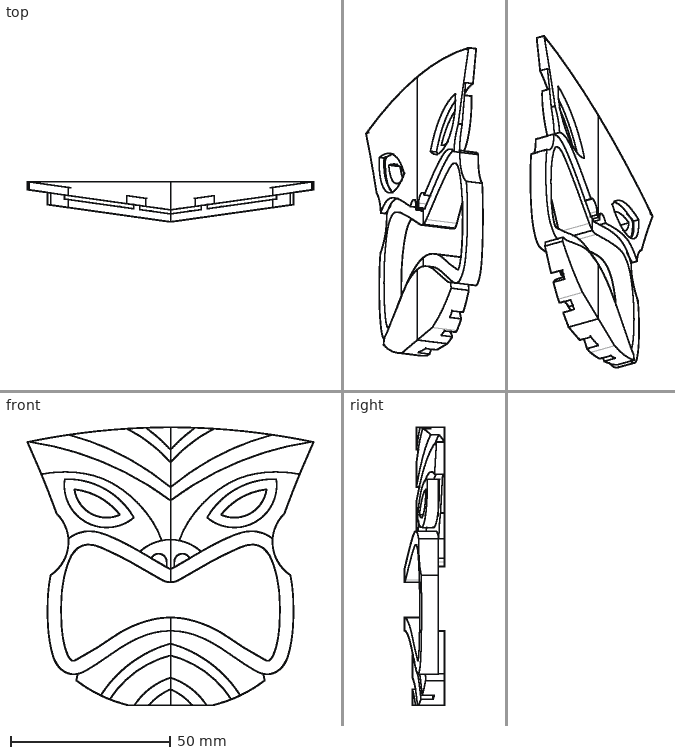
import cadquery as cq
import math


HALF_WIDTH = 45.005
HEIGHT = 87.46
CREST_DEPTH = 12.7
FOLD_ANGLE = 8.0
CLEAR = 5.0

STEP = CREST_DEPTH / 10
FLOOR = 5 * STEP
BROW = 7 * STEP
FEATURE = 8 * STEP
RIM_BACK = 2.0

TEMPLE = (-HALF_WIDTH, 82.8)
TOP_ARC_MID = (-HALF_WIDTH / 2, 86.3)
TEMPLE_EDGE_MID = (-40.55, 72.5)
TEMPLE_EDGE_END = (-35.9, 60.5)
CHEEK_CENTRE = (-44.6, 51.4)
CHEEK_RADIUS = 12.5

LIP_WIDTH = 4.25
LIP_PEAK_Z = 42.75
LIP_SLOPE = math.radians(30.2)
LIP_DIP_RADIUS = 5.5
LIP_BOTTOM_Z = 23.45
LIP_CURVE = [
    (-7.0, 46.82),
    (-13.5, 50.55),
    (-20.0, 53.55),
    (-26.0, 54.8),
    (-32.2, 52.3),
    (-36.3, 45.9),
    (-38.7, 30.5),
    (-37.5, 17.5),
    (-34.8, 11.7),
    (-30.8, 9.75),
    (-25.2, 11.75),
    (-14.9, 18.6),
    (-7.2, 22.3),
    (0, LIP_BOTTOM_Z),
]
OPENING_CURVE = [
    (-9.0, 43.05),
    (-15.2, 46.5),
    (-21.8, 49.6),
    (-26.0, 50.55),
    (-29.2, 49.4),
    (-32.2, 44.7),
    (-34.4, 30.5),
    (-33.2, 18.3),
    (-32.1, 15.4),
    (-30.8, 14.05),
    (-28.7, 14.9),
    (-23.5, 17.9),
    (-15.8, 22.95),
    (-8.9, 26.1),
    (0, LIP_BOTTOM_Z + LIP_WIDTH),
]

EYE_OUTER_CORNER = (-33.25, 71.15)
EYE_INNER_CORNER = (-11.5, 59.05)
EYE_LID_MID = (-20.9, 68.2)
EYE_LOWER_CENTRE = (-20.1, 69.1)
EYE_LOWER_RADIUS = 13.2
EYE_LOWER_MID_ANGLE = math.radians(30)
EYE_RIM_WIDTH = 3.15

NOSE_TOP_Z = 52.1
NOSE_RADIUS = 14.2
NOSTRIL_CENTRE = (-3.75, 45.15)
NOSTRIL_RADIUS = 2.5
NOSE_FOOT_Z = 43.6

JAW_TOP = (-29.1, 10.4)
JAW_CORNER = (-29.65, 7.8)
JAW_ARC_MID = (-21.6, 2.95)
CHIN_FLAT_END = (-13.3, 0)

BROW_GROOVE_LOWER = [(-44.5, 82.9), (-20.9, 76.35), (0, 64.4)]
BROW_GROOVE_UPPER = [(-36.0, 86.03), (-16.5, 79.3), (0, 68.6)]
CROWN_GROOVE_LOWER = [(-16.5, 88.3), (-7.2, 83.0), (0, 76.4)]
CROWN_GROOVE_UPPER = [(-9.15, 88.3), (-4.1, 84.4), (0, 80.4)]
JAW_GROOVE_UPPER = [(-23.2, 1.0), (-12.7, 13.15), (0, 19.45)]
JAW_GROOVE_LOWER = [(-20.2, 0), (-11.0, 10.5), (0, 15.7)]
CHIN_GROOVE_UPPER = [(-12.4, -1.7), (-6.6, 5.2), (0, 8.75)]
CHIN_GROOVE_LOWER = [(-8.1, -1.5), (-4.2, 2.55), (0, 5.1)]

BROW_CURVE = [
    (-43.0, 72.1),
    (-33.0, 73.4),
    (-20.9, 71.1),
    (-10.6, 63.95),
    (-5.4, 57.4),
    (-2.3, 50.5),
]


def prism(outline):
    """Solid of a closed outline, from the flat back to in front of the whole mask."""
    return outline.extrude(CREST_DEPTH + CLEAR)


def front_plane():
    """Plane of the flat back, drawn in X and Z, extruding toward the front."""
    return cq.Workplane("XZ")


def folded_wedge(back, front):
    """Wedge over one half: 'back' and 'front' list its Y depths at the centre line and the outer side."""
    outer_x = -HALF_WIDTH - CLEAR
    return (
        cq.Workplane("XY")
        .workplane(offset=-CLEAR)
        .polyline([(0, -back[0]), (0, -front[0]), (outer_x, -front[1]), (outer_x, -back[1])])
        .close()
        .extrude(HEIGHT + 2 * CLEAR)
    )


def side_depth(centre_depth):
    """Depth of a folded face at the outer side of the wedge."""
    return centre_depth - (HALF_WIDTH + CLEAR) * math.tan(math.radians(FOLD_ANGLE))


def relief(solid, depth, back=0.0):
    """Part of a prism between the plane Y = -back and the folded front face of the given depth."""
    return solid.intersect(folded_wedge((back, back), (depth, side_depth(depth))))


def above_floor(solid):
    """Part of a prism in front of the folded groove floor, used as a cutter."""
    front = CREST_DEPTH + CLEAR
    return solid.intersect(folded_wedge((FLOOR, side_depth(FLOOR)), (front, front)))


def groove(lower, upper):
    """Cutter for a groove between two arcs that both end on the centre line."""
    outline = (
        front_plane()
        .moveTo(*lower[0])
        .threePointArc(lower[1], lower[2])
        .lineTo(*upper[2])
        .threePointArc(upper[1], upper[0])
        .close()
    )
    return above_floor(prism(outline))


def lip_curve(start, points):
    """Smooth curve that leaves along the slope beside the nose and arrives level on the centre line."""
    slope_direction = (-math.cos(LIP_SLOPE), math.sin(LIP_SLOPE))
    return start.spline(points, tangents=[slope_direction, (1, 0)], scale=False, includeCurrent=True)


def lip_outline():
    """Outer edge of the lips, with a sharp dip below the nose."""
    return lip_curve(front_plane().moveTo(0, LIP_PEAK_Z), LIP_CURVE).close()


def opening_outline():
    """Inner edge of the lips, with a rounded dip below the nose."""
    dip_centre_z = LIP_PEAK_Z + (LIP_DIP_RADIUS - LIP_WIDTH) / math.cos(LIP_SLOPE)

    def dip_point(angle):
        return (-LIP_DIP_RADIUS * math.sin(angle), dip_centre_z - LIP_DIP_RADIUS * math.cos(angle))

    dip = front_plane().moveTo(*dip_point(0)).threePointArc(dip_point(LIP_SLOPE / 2), dip_point(LIP_SLOPE))
    return lip_curve(dip, OPENING_CURVE).close()


def eye_outline():
    """Outer edge of the almond-shaped eye rim."""
    lower_mid = (
        EYE_LOWER_CENTRE[0] - EYE_LOWER_RADIUS * math.sin(EYE_LOWER_MID_ANGLE),
        EYE_LOWER_CENTRE[1] - EYE_LOWER_RADIUS * math.cos(EYE_LOWER_MID_ANGLE),
    )
    return (
        front_plane()
        .moveTo(*EYE_OUTER_CORNER)
        .threePointArc(EYE_LID_MID, EYE_INNER_CORNER)
        .threePointArc(lower_mid, EYE_OUTER_CORNER)
        .close()
    )


def eye_rim():
    """Raised rim in the eye opening, set forward of the flat back like the lips."""
    opening = prism(eye_outline().offset2D(-EYE_RIM_WIDTH))
    return relief(prism(eye_outline()).cut(opening), FEATURE, RIM_BACK)


def face_plate():
    """Forehead, brow and eye socket, down into the upper lip."""
    outline = (
        front_plane()
        .moveTo(0, HEIGHT)
        .threePointArc(TOP_ARC_MID, TEMPLE)
        .threePointArc(TEMPLE_EDGE_MID, TEMPLE_EDGE_END)
        .lineTo(TEMPLE_EDGE_END[0], LIP_PEAK_Z)
        .lineTo(0, LIP_PEAK_Z)
        .close()
    )
    return prism(outline)


def eye_socket():
    """Cutter that lowers the cheek below the brow to the groove floor."""
    outline = (
        front_plane()
        .moveTo(*BROW_CURVE[0])
        .spline(BROW_CURVE[1:], includeCurrent=True)
        .lineTo(0, BROW_CURVE[-1][1])
        .lineTo(0, LIP_PEAK_Z)
        .lineTo(BROW_CURVE[0][0], LIP_PEAK_Z)
        .close()
    )
    return above_floor(prism(outline))


def chin_plate():
    """Chin, up into the lower lip."""
    outline = (
        front_plane()
        .moveTo(0, 0)
        .lineTo(*CHIN_FLAT_END)
        .threePointArc(JAW_ARC_MID, JAW_CORNER)
        .lineTo(*JAW_TOP)
        .lineTo(JAW_TOP[0], LIP_BOTTOM_Z)
        .lineTo(0, LIP_BOTTOM_Z)
        .close()
    )
    return prism(outline)


def nose():
    """Round-topped nose reaching down to the upper lip."""
    return prism(front_plane().center(0, NOSE_TOP_Z - NOSE_RADIUS).circle(NOSE_RADIUS))


def nostril():
    """Round-topped opening that runs down to the upper lip."""
    drop = NOSTRIL_CENTRE[1] - LIP_PEAK_Z
    round_top = front_plane().center(*NOSTRIL_CENTRE).circle(NOSTRIL_RADIUS)
    straight = (
        front_plane()
        .center(NOSTRIL_CENTRE[0], NOSTRIL_CENTRE[1] - drop / 2)
        .rect(2 * NOSTRIL_RADIUS, drop)
    )
    return prism(round_top).union(prism(straight))


def nose_foot():
    """Cutter that ends the bridge between the nostrils in a flat foot behind the lips."""
    foot = cq.Workplane("XY").box(NOSTRIL_RADIUS, RIM_BACK, NOSE_FOOT_Z - LIP_PEAK_Z, centered=False)
    return foot.translate((-NOSTRIL_RADIUS, -RIM_BACK, LIP_PEAK_Z))


def left_half():
    """Half of the mask on the -X side."""
    mouth = prism(lip_outline())
    cheek_notch = prism(front_plane().center(*CHEEK_CENTRE).circle(CHEEK_RADIUS))

    face = (
        relief(face_plate(), BROW)
        .cut(groove(BROW_GROOVE_LOWER, BROW_GROOVE_UPPER))
        .cut(groove(CROWN_GROOVE_LOWER, CROWN_GROOVE_UPPER))
        .cut(eye_socket())
        .cut(prism(eye_outline()))
        .union(eye_rim())
        .union(relief(nose(), FEATURE))
        .cut(nostril())
        .cut(mouth)
        .cut(nose_foot())
    )
    chin = (
        relief(chin_plate(), FEATURE)
        .cut(groove(JAW_GROOVE_LOWER, JAW_GROOVE_UPPER))
        .cut(groove(CHIN_GROOVE_LOWER, CHIN_GROOVE_UPPER))
        .cut(mouth)
    )
    lips = relief(mouth.cut(prism(opening_outline())), CREST_DEPTH, RIM_BACK)
    return lips.union(face).union(chin).cut(cheek_notch)


def mask_half(side):
    """Half of the mask on the given side: -1 for -X, 1 for +X."""
    half = left_half()
    return half if side < 0 else half.mirror("YZ")


mask_halves = [mask_half(side) for side in (-1, 1)]

result = cq.Compound.makeCompound([half.solids().val() for half in mask_halves])